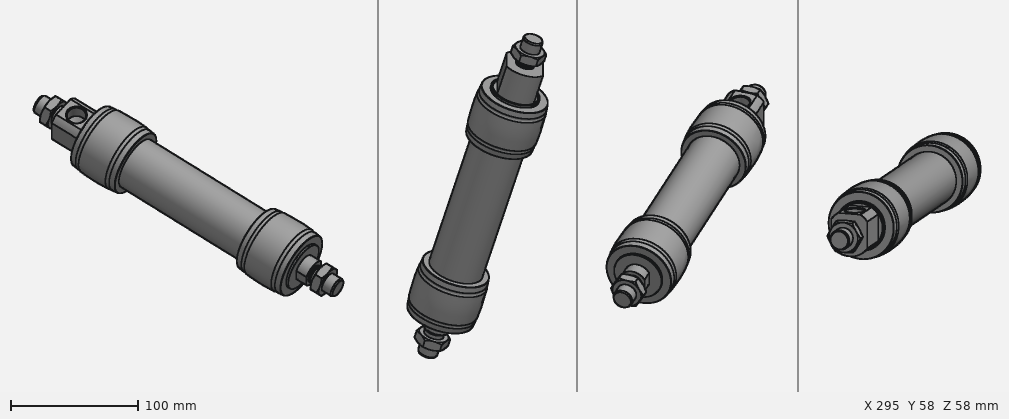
import cadquery as cq
import math

overall_length = 295.0
left_tip_x = -overall_length / 2
right_tip_x = overall_length / 2

thread_diameter = 16.0
thread_tip_diameter = 14.38
thread_tip_length = 1.4
neck_diameter = 14.0
stub_length = 24.0
neck_length = 2.0
neck_taper_length = 0.5
shoulder_diameter = 14.95
shoulder_length = 0.8

block_length = 26.0
block_diameter = 37.0
block_width = 30.0
block_top_z = 16.0

port_diameter = 14.95
port_mouth_diameter = 16.66
port_depth = 12.0
port_tip_angle = 118.0

rod_length = 10.0
rod_diameter = 22.0
rod_flat_width = 19.0

collar_diameter = 40.0
collar_rim_diameter = 39.8
collar_length = 2.0
collar_recess_depth = 0.3
collar_chamfer = (collar_diameter - collar_rim_diameter) / 2

cap_length = 43.5
flange_length = 5.2
groove_length = 3.3
flange_end_diameter = 54.6
flange_chamfer = 0.3
flange_inner_diameter = 55.8
groove_diameter = 55.2
band_end_diameter = 56.8
crown_diameter = 57.95

tube_diameter = 44.0

nut_width = 24.0
nut_thickness = 8.0
nut_tip_distance = 10.0
nut_bevel_angle = 30.0

block_start_x = left_tip_x + stub_length
block_end_x = block_start_x + block_length
left_cap_x = block_end_x + collar_length
rod_end_x = right_tip_x - stub_length
rod_start_x = rod_end_x - rod_length
right_cap_x = rod_start_x - collar_length - cap_length


def rod_along_x(start_x, length, diameter):
    """Plain round bar on the X axis."""
    return cq.Workplane("YZ", origin=(start_x, 0, 0)).circle(diameter / 2).extrude(length)


def threaded_stub(tip_x, inward):
    """Stub with a chamfered tip, a thin neck and a root shoulder; inward is +1 or -1 along X."""
    thread_end = stub_length - neck_length
    stub = (
        cq.Workplane("XY")
        .moveTo(0, 0)
        .lineTo(0, thread_tip_diameter / 2)
        .lineTo(thread_tip_length, thread_diameter / 2)
        .lineTo(thread_end - neck_taper_length, thread_diameter / 2)
        .lineTo(thread_end, neck_diameter / 2)
        .lineTo(stub_length - shoulder_length, neck_diameter / 2)
        .lineTo(stub_length - shoulder_length, shoulder_diameter / 2)
        .lineTo(stub_length, shoulder_diameter / 2)
        .lineTo(stub_length, 0)
        .close()
        .revolve(360, (0, 0, 0), (1, 0, 0))
    )
    if inward < 0:
        stub = stub.mirror("YZ")
    return stub.translate((tip_x, 0, 0))


def end_cap(start_x):
    """Round cap whose middle band bulges to the crown diameter."""
    band_start = flange_length + groove_length
    groove_middle = flange_length + groove_length / 2
    cap = (
        cq.Workplane("XY")
        .moveTo(0, 0)
        .lineTo(0, flange_end_diameter / 2 - flange_chamfer)
        .lineTo(flange_chamfer, flange_end_diameter / 2)
        .lineTo(flange_length, flange_inner_diameter / 2)
        .threePointArc(
            (groove_middle, groove_diameter / 2),
            (band_start, band_end_diameter / 2),
        )
        .threePointArc(
            (cap_length / 2, crown_diameter / 2),
            (cap_length - band_start, band_end_diameter / 2),
        )
        .threePointArc(
            (cap_length - groove_middle, groove_diameter / 2),
            (cap_length - flange_length, flange_inner_diameter / 2),
        )
        .lineTo(cap_length - flange_chamfer, flange_end_diameter / 2)
        .lineTo(cap_length, flange_end_diameter / 2 - flange_chamfer)
        .lineTo(cap_length, 0)
        .close()
    )
    return cap.revolve(360, (0, 0, 0), (1, 0, 0)).translate((start_x, 0, 0))


def port_block():
    """Round block with flat sides and top, and a drilled port in the top flat."""
    length = block_length + collar_recess_depth
    block = rod_along_x(block_start_x, length, block_diameter)
    flat_envelope = (
        cq.Workplane("XY", origin=(block_start_x, 0, -block_diameter / 2))
        .box(
            length,
            block_width,
            block_top_z + block_diameter / 2,
            centered=(False, True, False),
        )
    )
    block = block.intersect(flat_envelope)
    port_radius = port_diameter / 2
    mouth_radius = port_mouth_diameter / 2
    tip_depth = port_radius / math.tan(math.radians(port_tip_angle / 2))
    drill = (
        cq.Workplane("XZ")
        .moveTo(0, 0)
        .lineTo(mouth_radius, 0)
        .lineTo(port_radius, port_radius - mouth_radius)
        .lineTo(port_radius, -port_depth)
        .lineTo(0, -port_depth - tip_depth)
        .close()
        .revolve(360, (0, 0, 0), (0, 1, 0))
        .translate((block_start_x + block_length / 2, 0, block_top_z))
    )
    return block.cut(drill)


def wrench_section():
    """Rod end with two wrench flats facing +Y and -Y."""
    rod = rod_along_x(rod_start_x, rod_length, rod_diameter)
    flats = cq.Workplane("XY").box(rod_length, rod_flat_width, rod_diameter, centered=(False, True, True))
    return rod.intersect(flats.translate((rod_start_x, 0, 0)))


def nut(tip_x, inward):
    """Hexagon nut, bevelled on both faces and bored for the thread; inward is +1 or -1 along X."""
    corner_diameter = nut_width / math.cos(math.pi / 6)
    corner_radius = corner_diameter / 2
    face_radius = nut_width / 2
    bevel_length = (corner_radius - face_radius) * math.tan(math.radians(nut_bevel_angle))
    hexagon = (
        cq.Workplane("YZ")
        .polygon(6, corner_diameter)
        .circle(thread_diameter / 2)
        .extrude(nut_thickness)
    )
    bevelled_blank = (
        cq.Workplane("XY")
        .moveTo(0, 0)
        .lineTo(0, face_radius)
        .lineTo(bevel_length, corner_radius)
        .lineTo(nut_thickness - bevel_length, corner_radius)
        .lineTo(nut_thickness, face_radius)
        .lineTo(nut_thickness, 0)
        .close()
        .revolve(360, (0, 0, 0), (1, 0, 0))
    )
    body = hexagon.intersect(bevelled_blank).translate((nut_tip_distance, 0, 0))
    if inward < 0:
        body = body.mirror("YZ")
    return body.translate((tip_x, 0, 0))


def left_collar():
    """Collar with a chamfered outer rim, recessed where the port block enters it."""
    collar = rod_along_x(block_end_x, collar_length, collar_diameter)
    collar = collar.faces("<X").chamfer(collar_chamfer)
    return collar.cut(rod_along_x(block_end_x, collar_recess_depth, block_diameter))


def right_collar():
    """Plain collar with a chamfered outer rim."""
    collar = rod_along_x(rod_start_x - collar_length, collar_length, collar_diameter)
    return collar.faces(">X").chamfer(collar_chamfer)


tube_start_x = left_cap_x + cap_length
cylinder = (
    rod_along_x(tube_start_x, right_cap_x - tube_start_x, tube_diameter)
    .union(end_cap(left_cap_x))
    .union(end_cap(right_cap_x))
    .union(left_collar())
    .union(right_collar())
    .union(port_block())
    .union(wrench_section())
    .union(threaded_stub(left_tip_x, 1))
    .union(threaded_stub(right_tip_x, -1))
)

nuts = [nut(tip_x, inward) for tip_x, inward in ((left_tip_x, 1), (right_tip_x, -1))]

result = cq.Compound.makeCompound([cylinder.val()] + [body.val() for body in nuts])